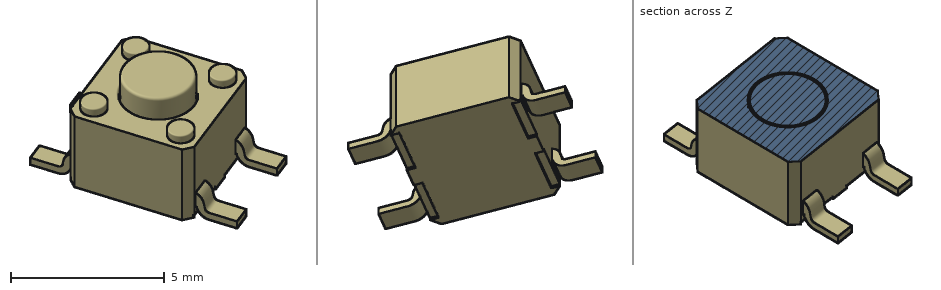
import cadquery as cq
import math

housing_width = 4.5
corner_cut = 0.3
cover_thickness = 0.3
housing_height = 3.0
half_width = housing_width / 2

overall_height = 3.8
button_diameter = 2.5
button_rounding = 0.1
hole_diameter = 2.6
rim_rounding = 0.07

peg_diameter = 0.9
peg_height = 0.3
peg_rounding = 0.045
peg_offset = 1.575

overall_length = 7.5
lead_thickness = 0.3
lead_width = 0.7
lead_offset = 1.5
inner_bend_radius = 0.165
outer_bend_radius = inner_bend_radius + lead_thickness
foot_bend_x = 2.745
shoulder_radius = 0.49
riser_length = 0.195
riser_lean = 11.0
lead_embedding = 0.225

relief_height = 0.1
relief_depth = 0.3
central_foot_width = 0.69


def make_housing():
    housing = cq.Workplane("XY").box(
        housing_width, housing_width, housing_height, centered=(True, True, False)
    )
    housing = housing.edges("|Z").chamfer(corner_cut)
    relief_outer_y = half_width - corner_cut
    relief_inner_y = central_foot_width / 2
    relief_length = relief_outer_y - relief_inner_y
    relief_spacing = relief_outer_y + relief_inner_y
    reliefs = (
        cq.Workplane("XY")
        .rarray(housing_width - relief_depth, relief_spacing, 2, 2)
        .rect(relief_depth, relief_length)
        .extrude(relief_height)
    )
    return housing.cut(reliefs)


def cut_button_hole(housing):
    cover_bottom = housing_height - cover_thickness
    hole = (
        cq.Workplane("XY", origin=(0, 0, cover_bottom))
        .circle(hole_diameter / 2)
        .extrude(cover_thickness)
    )
    rim = cq.selectors.RadiusNthSelector(0)
    housing = housing.cut(hole)
    return housing.faces(">Z").edges("%CIRCLE").edges(rim).fillet(rim_rounding)


def make_button():
    cover_bottom = housing_height - cover_thickness
    return (
        cq.Workplane("XY", origin=(0, 0, cover_bottom))
        .circle(button_diameter / 2)
        .extrude(overall_height - cover_bottom)
        .faces(">Z").edges().fillet(button_rounding)
    )


def make_pegs():
    return (
        cq.Workplane("XY", origin=(0, 0, housing_height))
        .rarray(2 * peg_offset, 2 * peg_offset, 2, 2)
        .circle(peg_diameter / 2)
        .extrude(peg_height)
        .faces(">Z").edges().fillet(peg_rounding)
    )


def point_on_arc(center, radius, angle):
    """Point at an angle in degrees, measured from +X toward +Z."""
    turn = math.radians(angle)
    return (center[0] + radius * math.cos(turn), center[1] + radius * math.sin(turn))


def make_lead():
    """Lead on the -X side, centred on Y = 0."""
    foot_end = -overall_length / 2
    root_x = -half_width + lead_embedding

    lower_center = (-foot_bend_x, outer_bend_radius)
    bend_end = -riser_lean
    bend_middle = (bend_end - 90) / 2
    inner_end = point_on_arc(lower_center, inner_bend_radius, bend_end)
    outer_end = point_on_arc(lower_center, outer_bend_radius, bend_end)

    riser_angle = 90 - riser_lean
    riser_top = point_on_arc(inner_end, riser_length, riser_angle)
    upper_center = point_on_arc(riser_top, shoulder_radius, bend_end)
    upper_start = 180 - riser_lean
    upper_end = math.degrees(math.acos((root_x - upper_center[0]) / shoulder_radius))

    profile = (
        cq.Workplane("XZ")
        .moveTo(foot_end, 0)
        .lineTo(-foot_bend_x, 0)
        .threePointArc(point_on_arc(lower_center, outer_bend_radius, bend_middle), outer_end)
        .lineTo(root_x, outer_end[1])
        .lineTo(*point_on_arc(upper_center, shoulder_radius, upper_end))
        .threePointArc(
            point_on_arc(upper_center, shoulder_radius, (upper_start + upper_end) / 2),
            riser_top,
        )
        .lineTo(*inner_end)
        .threePointArc(
            point_on_arc(lower_center, inner_bend_radius, bend_middle),
            (-foot_bend_x, lead_thickness),
        )
        .lineTo(foot_end, lead_thickness)
        .close()
    )
    return profile.extrude(lead_width / 2, both=True)


result = cut_button_hole(make_housing())
result = result.union(make_button()).union(make_pegs())

left_lead = make_lead()
for lead in (left_lead, left_lead.mirror("YZ")):
    for lead_y in (-lead_offset, lead_offset):
        result = result.union(lead.translate((0, lead_y, 0)))